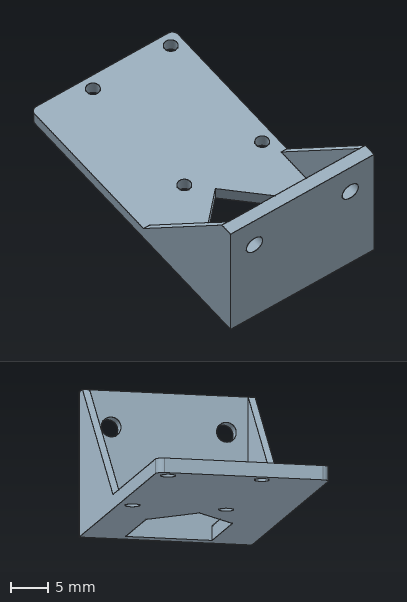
import cadquery as cq

length = 46.0
width = 24.0
height = 20.0

base_thickness = 2.0
wall_thickness = 2.0
gusset_thickness = 1.0
corner_radius = 1.0

wall_x = length - wall_thickness
gusset_foot_x = wall_x - (height - base_thickness)

base_hole_diameter = 2.0
base_hole_inset = 2.0
base_hole_spacing_x = 21.0
base_hole_spacing_y = 13.0

wall_hole_diameter = 2.7
wall_hole_spacing = 16.0
wall_hole_z = 15.0

window_width = 12.0
window_tip_x = gusset_foot_x


def make_base():
    """Flat plate with its two free corners rounded."""
    plate = cq.Workplane("XY").box(length, width, base_thickness, centered=(False, True, False))
    return plate.edges("|Z and <X").fillet(corner_radius)


def make_wall():
    """Upright wall across the far end of the base."""
    wall = cq.Workplane("XY").box(wall_thickness, width, height, centered=(False, True, False))
    return wall.translate((wall_x, 0, 0))


def make_gusset(outer_y, direction):
    """Triangular side rib, thickened from outer_y toward the centre."""
    return (
        cq.Workplane("XZ", origin=(0, outer_y, 0))
        .moveTo(gusset_foot_x, base_thickness)
        .lineTo(wall_x, base_thickness)
        .lineTo(wall_x, height)
        .close()
        .extrude(direction * gusset_thickness)
    )


def make_window():
    """Pointed opening through the base, ending at the wall."""
    half_width = window_width / 2
    shoulder_x = window_tip_x + half_width
    return (
        cq.Workplane("XY")
        .moveTo(window_tip_x, 0)
        .lineTo(shoulder_x, half_width)
        .lineTo(wall_x, half_width)
        .lineTo(wall_x, -half_width)
        .lineTo(shoulder_x, -half_width)
        .close()
        .extrude(base_thickness)
    )


def make_base_holes():
    """Four vertical holes through the base."""
    first_x = base_hole_inset
    first_y = width / 2 - base_hole_inset
    centres = [
        (first_x + column * base_hole_spacing_x, first_y - row * base_hole_spacing_y)
        for column in range(2)
        for row in range(2)
    ]
    return cq.Workplane("XY").pushPoints(centres).circle(base_hole_diameter / 2).extrude(base_thickness)


def make_wall_holes():
    """Two horizontal holes through the wall."""
    centres = [(side * wall_hole_spacing / 2, wall_hole_z) for side in (-1, 1)]
    return (
        cq.Workplane("YZ", origin=(wall_x, 0, 0))
        .pushPoints(centres)
        .circle(wall_hole_diameter / 2)
        .extrude(wall_thickness)
    )


result = make_base().union(make_wall())
for side in (-1, 1):
    result = result.union(make_gusset(side * width / 2, side))
result = result.cut(make_window()).cut(make_base_holes()).cut(make_wall_holes())